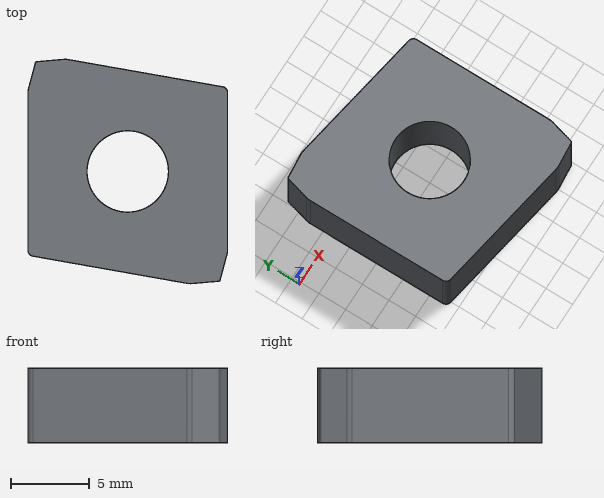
import cadquery as cq
import math

inscribed_diameter = 12.7
thickness = 4.76
hole_diameter = 5.16
acute_angle = 80.0

facet_angle = 15.0
facet_setback = 2.46
facet_blend_radius = 1.2
nose_radius = 0.1
obtuse_corner_radius = 0.4


def step(point, distance, direction):
    """Point reached from another by a distance along a direction in degrees."""
    angle = math.radians(direction)
    return (point[0] + distance * math.cos(angle), point[1] + distance * math.sin(angle))


def opposite(point):
    """Point turned half a turn about the hole axis."""
    return (-point[0], -point[1])


inscribed_radius = inscribed_diameter / 2
half_acute = math.radians(acute_angle / 2)
acute_corner = (-inscribed_radius, inscribed_radius / math.tan(half_acute))
obtuse_corner = (-inscribed_radius, -inscribed_radius * math.tan(half_acute))

left_side_direction = -90.0
upper_side_direction = left_side_direction + acute_angle
bisector_direction = left_side_direction + acute_angle / 2
nose_setback = (
    facet_setback
    * math.sin(math.radians(facet_angle))
    / math.sin(half_acute + math.radians(facet_angle))
)
left_facet_start = step(acute_corner, facet_setback, left_side_direction)
nose = step(acute_corner, nose_setback, bisector_direction)
upper_facet_start = step(acute_corner, facet_setback, upper_side_direction)


def make_plate():
    """Plate with sharp vertical edges, centred on the hole axis, base at Z = 0."""
    half_outline = [obtuse_corner, left_facet_start, nose, upper_facet_start]
    outline = half_outline + [opposite(point) for point in half_outline]
    return cq.Workplane("XY").polyline(outline).close().extrude(thickness)


def round_edge_pair(body, corner, radius):
    """Round the vertical edge at a corner and the one opposite it."""
    for x, y in (corner, opposite(corner)):
        edge = cq.selectors.NearestToPointSelector((x, y, thickness / 2))
        body = body.edges("|Z").edges(edge).fillet(radius)
    return body


def cut_hole(body):
    """Plain through hole on the Z axis."""
    hole = cq.Workplane("XY").circle(hole_diameter / 2).extrude(thickness)
    return body.cut(hole)


insert = make_plate()
insert = round_edge_pair(insert, obtuse_corner, obtuse_corner_radius)
insert = round_edge_pair(insert, left_facet_start, facet_blend_radius)
insert = round_edge_pair(insert, upper_facet_start, facet_blend_radius)
insert = round_edge_pair(insert, nose, nose_radius)
result = cut_hole(insert)